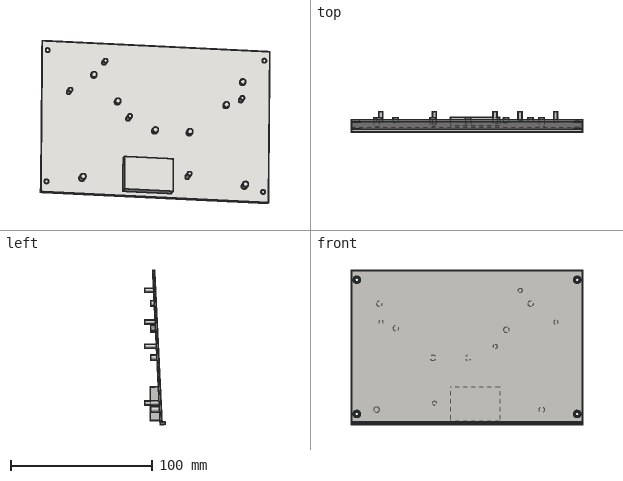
import cadquery as cq
import math

width = 164.0
overall_depth = 14.8
overall_height = 109.4

lean_angle = 2.8
panel_thickness = 1.5
lip_reach = 2.3
lip_height = 2.0
lip_chamfer = 0.5

hole_diameter = 3.0
countersink_diameter = 5.0
countersink_angle = 90.0
hole_side_inset = 4.0
lower_hole_height = 7.5
upper_hole_inset = 6.7

pin_diameter = 3.0
pin_tip_y = overall_depth
pin_positions = [(20.8, 72.8), (58.9, 15.4), (101.8, 55.6), (119.5, 95.3), (144.8, 72.8)]
boss_diameter = 4.0
boss_tip_y = 10.5
boss_positions = [
    (17.7, 10.8),
    (19.7, 86.0),
    (31.5, 68.5),
    (57.7, 47.5),
    (82.7, 47.5),
    (109.7, 67.4),
    (127.0, 86.0),
    (134.8, 10.8),
]

block_left = 70.2
block_right = 105.1
block_bottom = 3.0
block_top_at_tip = 26.7
block_tip_y = 10.8

lean = math.radians(lean_angle)
panel_rear = lip_reach + panel_thickness
panel_length = (overall_height - panel_thickness * math.sin(lean)) / math.cos(lean)
shift_y = -lip_chamfer * math.sin(lean)
shift_z = panel_rear * math.sin(lean)


def make_upright_panel():
    """Panel and lip standing upright, with the lip tip on Y = 0."""
    panel = cq.Workplane("XY").box(width, panel_thickness, panel_length, centered=False)
    panel = panel.translate((0, lip_reach, 0))
    lip = cq.Workplane("XY").box(width, lip_reach, lip_height, centered=False)
    lip = lip.faces("<Y").edges("|X").chamfer(lip_chamfer)
    return panel.union(lip)


def cut_screw_holes(panel):
    upper_hole_height = panel_length - upper_hole_inset
    centers = [
        (x, z)
        for x in (hole_side_inset, width - hole_side_inset)
        for z in (lower_hole_height, upper_hole_height)
    ]
    front_face = cq.Workplane("XZ", origin=(0, lip_reach, 0))
    countersink_depth = (
        (countersink_diameter - hole_diameter) / 2 / math.tan(math.radians(countersink_angle / 2))
    )
    for x, z in centers:
        bore = front_face.center(x, z).circle(hole_diameter / 2).extrude(-panel_thickness)
        cone = cq.Solid.makeCone(
            countersink_diameter / 2,
            hole_diameter / 2,
            countersink_depth,
            pnt=cq.Vector(x, lip_reach, z),
            dir=cq.Vector(0, 1, 0),
        )
        panel = panel.cut(bore).cut(cq.Workplane(obj=cone))
    return panel


def panel_middle_y(z):
    """Y of the leaning panel's mid-plane at height z."""
    middle = lip_reach + panel_thickness / 2
    return shift_y + middle / math.cos(lean) + (z - shift_z) * math.tan(lean)


def make_post(x, z, diameter, tip_y):
    """Round post from inside the panel to its tip."""
    root_y = panel_middle_y(z)
    return cq.Workplane("XZ", origin=(x, root_y, z)).circle(diameter / 2).extrude(root_y - tip_y)


def make_block():
    root_bottom_y = panel_middle_y(block_bottom)
    root_top_y = panel_middle_y(block_top_at_tip)
    root_top_z = block_top_at_tip + (block_tip_y - root_top_y) * math.tan(lean)
    outline = [
        (root_bottom_y, block_bottom),
        (block_tip_y, block_bottom),
        (block_tip_y, block_top_at_tip),
        (root_top_y, root_top_z),
    ]
    profile = cq.Workplane("YZ", origin=(block_left, 0, 0)).polyline(outline).close()
    return profile.extrude(block_right - block_left)


result = cut_screw_holes(make_upright_panel())
result = result.rotate((0, 0, 0), (1, 0, 0), -lean_angle).translate((0, shift_y, shift_z))
result = result.union(make_block())
for pin_x, pin_z in pin_positions:
    result = result.union(make_post(pin_x, pin_z, pin_diameter, pin_tip_y))
for boss_x, boss_z in boss_positions:
    result = result.union(make_post(boss_x, boss_z, boss_diameter, boss_tip_y))